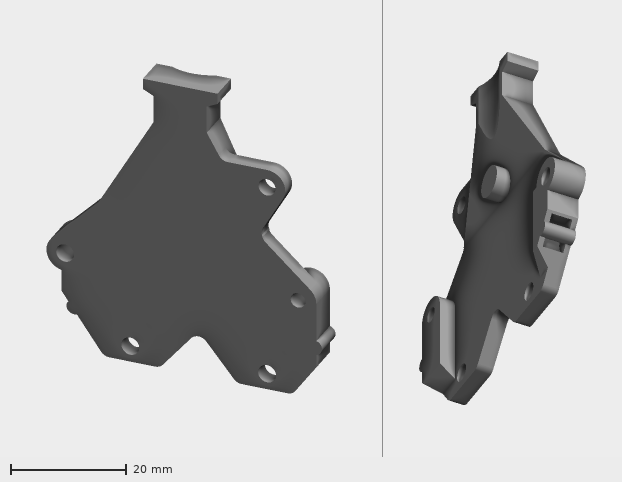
import cadquery as cq
import math

full_thickness = 6.0
plate_thickness = 3.05
height = 56.2
through = 3 * full_thickness

neck_x = 25.15
head_half_width = 7.0
neck_half_width = 5.0
head_bottom_z = 54.15
neck_top_z = 53.2
neck_bottom_z = 48.1
flank_slope = math.tan(math.radians(60))
taper_end_z = 29.85

left_boss_radius = 7.0 / 2
left_boss = (left_boss_radius, 18.75)
right_boss = (47.35, 18.7)
ear = (41.5, 39.7)
lobe_radius = 3.4
center_boss = (neck_x, 32.6)
center_boss_diameter = 6.0
holes = [
    (left_boss, 3.35),
    (right_boss, 2.8),
    (ear, 3.2),
    ((15.8, 3.05), 3.35),
    ((41.5, 3.05), 3.35),
]

left_wall_x = 2.85
left_wall_bottom_z = 11.2
left_foot_x = 10.85
notch_left_x = 21.35
notch_apex = (28.65, 8.7)
notch_right_x = 35.85
right_foot_x = 46.3
right_wall_x = right_boss[0] + lobe_radius
right_wall_bottom_z = 6.25
corner_radius = 1.85
ear_root_radius = 2.25

left_block_x = 8.35
left_block_slope_run = 3.1
right_block_x = 43.95
block_bottom_z = 5.75
block_slope_run = 2.5

bead_diameter = 2.8
left_bead = (5.15, 8.5)
right_bead = (50.45, 10.05)
recess_y = 1.0
recess_width = 4.0
recess_diameter = 6.0

scoop_half_width = 4.05
scoop_depth = 0.9


def prism(points, thickness):
    """Extrude an X-Z outline from the front face toward +Y."""
    return cq.Workplane("XZ").polyline(points).close().extrude(-thickness)


def cylinder(center, diameter, thickness):
    return cq.Workplane("XZ").center(*center).circle(diameter / 2).extrude(-thickness)


def on_circle(center, radius, degrees):
    angle = math.radians(degrees)
    return (center[0] + radius * math.cos(angle), center[1] + radius * math.sin(angle))


def meet(start_a, slope_a, start_b, slope_b):
    """Crossing point of two lines given by a point and a slope."""
    rise = start_b[1] - start_a[1] + slope_a * start_a[0] - slope_b * start_b[0]
    x = rise / (slope_a - slope_b)
    return (x, start_a[1] + slope_a * (x - start_a[0]))


neck_left = (neck_x - neck_half_width, neck_bottom_z)
neck_right = (neck_x + neck_half_width, neck_bottom_z)
left_tangent = on_circle(left_boss, left_boss_radius, 135)
shoulder = meet(neck_left, flank_slope, left_tangent, 1.0)
right_edge_angle = 48
right_tangent = on_circle(right_boss, lobe_radius, right_edge_angle)
right_edge_slope = -1 / math.tan(math.radians(right_edge_angle))
ear_tangent = on_circle(ear, lobe_radius, -30)
ear_root = meet(ear_tangent, flank_slope, right_tangent, right_edge_slope)
ear_top_z = ear[1] + lobe_radius
ear_inner = meet(neck_right, -flank_slope, (ear[0], ear_top_z), 0.0)

head_outline = [
    neck_left,
    (neck_x - neck_half_width, neck_top_z),
    (neck_x - head_half_width, head_bottom_z),
    (neck_x - head_half_width, height),
    (neck_x + head_half_width, height),
    (neck_x + head_half_width, head_bottom_z),
    (neck_x + neck_half_width, neck_top_z),
    neck_right,
]
body_outline = [
    neck_left,
    neck_right,
    ear_inner,
    (ear[0], ear_top_z),
    ear,
    ear_tangent,
    ear_root,
    right_tangent,
    right_boss,
    (right_wall_x, right_boss[1]),
    (right_wall_x, right_wall_bottom_z),
    (right_foot_x, 0),
    (notch_right_x, 0),
    notch_apex,
    (notch_left_x, 0),
    (left_foot_x, 0),
    (left_wall_x, left_wall_bottom_z),
    (left_wall_x, left_boss[1]),
    left_boss,
    left_tangent,
    shoulder,
]


def round_corner(body, corner, radius):
    """Fillet the edge along Y that passes through an outline corner."""
    reach = 0.05
    box = cq.selectors.BoxSelector(
        (corner[0] - reach, -through, corner[1] - reach),
        (corner[0] + reach, through, corner[1] + reach),
    )
    return body.edges(box).fillet(radius)


def rounded_body(thickness):
    body = prism(body_outline, thickness)
    feet = [left_foot_x, notch_left_x, notch_right_x, right_foot_x]
    for corner in [(x, 0) for x in feet] + [notch_apex, ear_inner, shoulder]:
        body = round_corner(body, corner, corner_radius)
    return round_corner(body, ear_root, ear_root_radius)


def tapered_flanks():
    """Wedge that thins from the neck down to the plate."""
    half_width = neck_half_width + (neck_bottom_z - taper_end_z) / flank_slope
    wedge = prism(
        [
            neck_left,
            neck_right,
            (neck_x + half_width, taper_end_z),
            (neck_x - half_width, taper_end_z),
        ],
        full_thickness,
    )
    side_profile = [
        (0, neck_bottom_z),
        (full_thickness, neck_bottom_z),
        (plate_thickness, taper_end_z),
        (0, taper_end_z),
    ]
    return wedge.intersect(cq.Workplane("YZ").polyline(side_profile).close().extrude(height))


def side_blocks():
    """Raised left and right sides with sloping lower ends; the left one also slopes inward."""
    top_z = left_boss[1]
    end_profile = [
        (0, block_bottom_z - block_slope_run),
        (plate_thickness, block_bottom_z - block_slope_run),
        (full_thickness, block_bottom_z),
        (full_thickness, top_z),
        (0, top_z),
    ]
    sloped_ends = cq.Workplane("YZ").polyline(end_profile).close().extrude(height)
    inner_x = left_block_x + left_block_slope_run
    left_profile = [
        (0, 0),
        (inner_x, 0),
        (inner_x, plate_thickness),
        (left_block_x, full_thickness),
        (0, full_thickness),
    ]
    left = cq.Workplane("XY").polyline(left_profile).close().extrude(top_z)
    right = cq.Workplane("XY").box(
        right_wall_x - right_block_x, full_thickness, top_z, centered=False
    ).translate((right_block_x, 0, 0))
    return rounded_body(full_thickness).intersect(sloped_ends).intersect(left.union(right))


def bead_recess():
    """Round recess around the left bead, short of both faces of the part."""
    return cylinder(left_bead, recess_diameter, recess_width).translate((0, recess_y, 0))


def head_scoop():
    """Shallow arc running along Z along the back of the head, neck and taper."""
    return (
        cq.Workplane("XY")
        .workplane(offset=taper_end_z)
        .moveTo(neck_x - scoop_half_width, full_thickness)
        .threePointArc(
            (neck_x, full_thickness - scoop_depth),
            (neck_x + scoop_half_width, full_thickness),
        )
        .close()
        .extrude(height - taper_end_z)
    )


result = rounded_body(plate_thickness)
result = result.union(prism(head_outline, full_thickness))
result = result.union(tapered_flanks()).cut(head_scoop())
result = result.union(side_blocks())
result = result.cut(bead_recess())

result = result.union(cylinder(left_boss, 2 * left_boss_radius, full_thickness))
result = result.union(cylinder(right_boss, 2 * lobe_radius, full_thickness))
result = result.union(cylinder(ear, 2 * lobe_radius, plate_thickness))
result = result.union(cylinder(center_boss, center_boss_diameter, full_thickness))
for bead in (left_bead, right_bead):
    result = result.union(cylinder(bead, bead_diameter, full_thickness))

for center, diameter in holes:
    result = result.cut(cylinder(center, diameter, full_thickness))